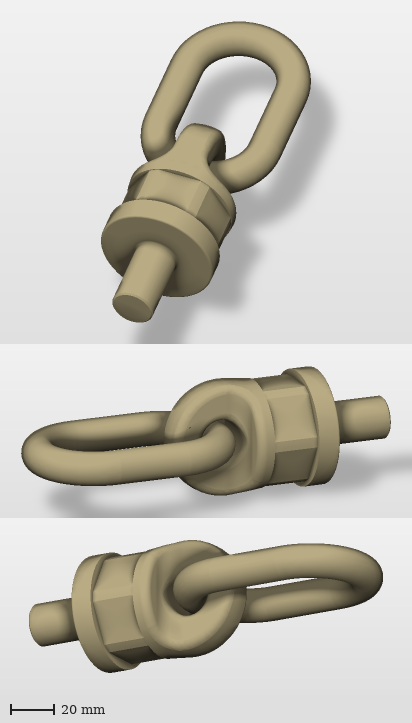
import cadquery as cq
import math


stud_diameter = 20.0
stud_length = 33.0
stud_tip_chamfer = 0.75
stud_root_fillet = 1.1
flange_diameter = 55.0
flange_thickness = 10.6
flange_edge_fillet = 1.0
hex_across_flats = 46.0
hex_corner_diameter = 50.5
hex_top = 32.0
hex_turn = 30.0

dome_radius = 27.25
dome_centre = 48.1
dome_bottom = 43.0
base_radius = 25.7
shoulder_height = 40.0
lug_thickness = 16.8
neck_radius = 8.1
outer_fillet = 3.7
eye_hole_diameter = 20.0
eye_hole_centre = 50.8
eye_hole_fillet = 3.9
mark_diameter = 1.12
mark_depth = 1.0
mark_y = 67.5
mark_z = 8.9

bar_diameter = 16.0
link_width = 67.0
link_straight = 35.0
link_bottom = 44.0


def rod_along_y(diameter, start, end):
    """Cylinder on the Y axis between two heights."""
    return cq.Workplane("XZ", origin=(0, start, 0)).circle(diameter / 2).extrude(start - end)


def make_bolt():
    """Stud, flange and hexagon as one solid, with the hexagon corners turned off."""
    flange = rod_along_y(flange_diameter, 0, flange_thickness)
    flange = flange.faces("<Y").edges().fillet(flange_edge_fillet)
    stud = rod_along_y(stud_diameter, -stud_length, 0)
    stud = stud.faces("<Y").edges().chamfer(stud_tip_chamfer)
    hex_height = hex_top - flange_thickness
    hexagon = (
        cq.Workplane("XZ", origin=(0, flange_thickness, 0))
        .transformed(rotate=(0, 0, hex_turn))
        .polygon(6, hex_across_flats, circumscribed=True)
        .extrude(-hex_height)
        .intersect(rod_along_y(hex_corner_diameter, flange_thickness, hex_top))
    )
    bolt = flange.union(stud).union(hexagon)
    stud_root = cq.selectors.RadiusNthSelector(0)
    return bolt.faces(cq.selectors.NearestToPointSelector((0, 0, 0))).edges(stud_root).fillet(stud_root_fillet)


def make_eye_blank():
    """Cone that widens upwards to a spherical dome."""
    rim_radius = math.sqrt(dome_radius**2 - (dome_centre - dome_bottom) ** 2)
    arc_mid = dome_radius * math.sqrt(0.5)
    return (
        cq.Workplane("XY")
        .moveTo(0, hex_top)
        .lineTo(base_radius, hex_top)
        .lineTo(rim_radius, dome_bottom)
        .threePointArc((arc_mid, dome_centre + arc_mid), (0, dome_centre + dome_radius))
        .close()
        .revolve(360, (0, 0), (0, 1))
    )


def make_lug_profile():
    """Lug, concave necks and shoulders, as a plate that covers the whole blank."""
    half_lug = lug_thickness / 2
    neck_end = half_lug + neck_radius
    neck_top = shoulder_height + neck_radius
    neck_mid_x = neck_end - neck_radius * math.sqrt(0.5)
    neck_mid_y = neck_top - neck_radius * math.sqrt(0.5)
    side = 2 * dome_radius
    top = dome_centre + side
    return (
        cq.Workplane("XY")
        .moveTo(-side, hex_top)
        .lineTo(side, hex_top)
        .lineTo(side, shoulder_height)
        .lineTo(neck_end, shoulder_height)
        .threePointArc((neck_mid_x, neck_mid_y), (half_lug, neck_top))
        .lineTo(half_lug, top)
        .lineTo(-half_lug, top)
        .lineTo(-half_lug, neck_top)
        .threePointArc((-neck_mid_x, neck_mid_y), (-neck_end, shoulder_height))
        .lineTo(-side, shoulder_height)
        .close()
        .extrude(side, both=True)
    )


def make_eye():
    """Rounded lug with a flared hole for the link and a small round mark on the -X face."""
    eye = make_eye_blank().intersect(make_lug_profile())
    eye = eye.faces("|X").edges("not |Z").fillet(outer_fillet)
    hole = (
        cq.Workplane("YZ", origin=(0, eye_hole_centre, 0))
        .circle(eye_hole_diameter / 2)
        .extrude(2 * dome_radius, both=True)
    )
    eye = eye.cut(hole)
    mouth_reach = eye_hole_diameter / 2 + 1
    mouth = cq.selectors.BoxSelector(
        (-lug_thickness, eye_hole_centre - mouth_reach, -mouth_reach),
        (lug_thickness, eye_hole_centre + mouth_reach, mouth_reach),
    )
    eye = eye.edges(mouth).fillet(eye_hole_fillet)
    mark = (
        cq.Workplane("YZ", origin=(-lug_thickness / 2, mark_y, mark_z))
        .circle(mark_diameter / 2)
        .extrude(mark_depth)
    )
    return eye.cut(mark)


def make_link():
    """Closed ring in the XY plane, passing through the eye."""
    bend_radius = (link_width - bar_diameter) / 2
    lower_centre = link_bottom + link_width / 2
    upper_centre = lower_centre + link_straight
    path = (
        cq.Workplane("XY")
        .moveTo(bend_radius, lower_centre)
        .lineTo(bend_radius, upper_centre)
        .threePointArc((0, upper_centre + bend_radius), (-bend_radius, upper_centre))
        .lineTo(-bend_radius, lower_centre)
        .threePointArc((0, lower_centre - bend_radius), (bend_radius, lower_centre))
        .close()
    )
    bar = cq.Workplane("XZ", origin=(bend_radius, lower_centre, 0)).circle(bar_diameter / 2)
    return bar.sweep(path)


bolt = make_bolt()
eye = make_eye()
link = make_link()
result = cq.Compound.makeCompound([bolt.solids().val(), eye.solids().val(), link.val()])